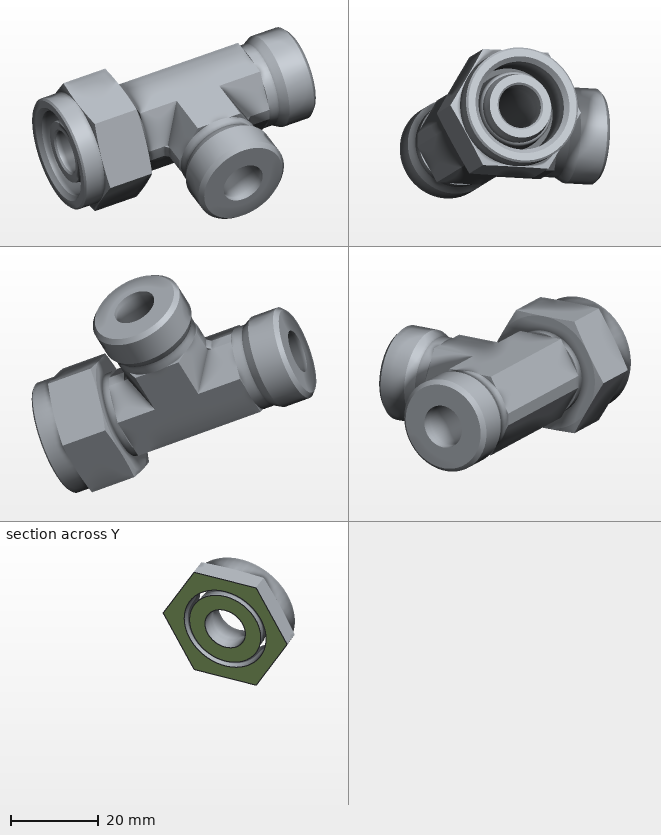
import cadquery as cq
import math


overall_length = 61.1

body_across_flats = 19.0
body_half_width = 10.15
shoulder = 16.0
run_front = -14.9
gusset_leg = 0.9
bore_radius = 5.0

male_end = 28.0
thread_start = 20.7
neck_end = 18.6
thread_radius = 11.0
neck_radius = 9.85
thread_chamfer = 1.0

nut_across_flats = 27.0
nut_back = -16.6
nut_hex_front = -28.1
nut_front = male_end - overall_length
nut_collar_radius = 13.4
nut_collar_chamfer = 0.4
hex_corner_relief = 0.35
nut_thread_radius = 10.2
nut_mouth_radius = 11.25
nut_floor = -23.2

spigot_radius = 10.0
nose_root_radius = 9.0
nose_tip_radius = 7.35
nose_half_angle = 12.0
nose_tip = -31.45
nose_bore_chamfer = 0.4
ring_section_radius = 0.9
ring_outer_radius = 8.7
ring_y = -27.5


def hex_bar(across_flats, start, end):
    """Hexagonal bar along Y with flats facing up and down."""
    across_corners = across_flats / math.cos(math.pi / 6)
    bar = cq.Workplane("XZ", origin=(0, end, 0)).polygon(6, across_corners)
    return bar.extrude(end - start)


def turned(profile):
    """Solid of revolution about Y from (radius, y) points."""
    return cq.Workplane("XY").polyline(profile).close().revolve(360, (0, 0, 0), (0, 1, 0))


def toward_branch(shape):
    """Turn a shape from the +Y direction to the +X direction."""
    return shape.rotate((0, 0, 0), (0, 0, 1), -90)


def body_bar(start, end):
    """Hexagonal bar of the body with its two side corners trimmed flat."""
    trim = cq.Workplane("XY").box(2 * body_half_width, 4 * male_end, body_across_flats)
    return hex_bar(body_across_flats, start, end).intersect(trim)


def corner_gusset(side):
    """Small triangular web where run and branch flats meet, on the +Y (1) or -Y (-1) side."""
    flat_height = (2 * body_across_flats / math.sqrt(3) - 2 * body_half_width) * math.tan(math.pi / 3)
    outer = body_half_width + gusset_leg
    web = cq.Workplane("XY").polyline([
        (0, 0),
        (outer, side * body_half_width),
        (body_half_width, side * outer),
    ])
    return web.close().extrude(flat_height / 2, both=True)


def male_stub():
    """Neck, cone and chamfered thread of a male end pointing along +Y."""
    return turned([
        (0, shoulder),
        (neck_radius, shoulder),
        (neck_radius, neck_end),
        (thread_radius, thread_start),
        (thread_radius, male_end - thread_chamfer),
        (thread_radius - thread_chamfer, male_end),
        (0, male_end),
    ])


def union_nut():
    """Hexagonal nut with a round front collar and an open, countersunk thread."""
    flat_radius = nut_across_flats / 2
    corner_radius = flat_radius / math.cos(math.pi / 6)
    relief = turned([
        (0, nut_back),
        (flat_radius, nut_back),
        (corner_radius, nut_back - hex_corner_relief),
        (corner_radius, nut_hex_front + hex_corner_relief),
        (flat_radius, nut_hex_front),
        (0, nut_hex_front),
    ])
    collar = turned([
        (0, nut_back),
        (nut_collar_radius, nut_back),
        (nut_collar_radius, nut_front + nut_collar_chamfer),
        (nut_collar_radius - nut_collar_chamfer, nut_front),
        (0, nut_front),
    ])
    countersink_depth = nut_mouth_radius - nut_thread_radius
    cavity = turned([
        (0, nut_floor),
        (nut_thread_radius, nut_floor),
        (nut_thread_radius, nut_front + countersink_depth),
        (nut_mouth_radius, nut_front),
        (0, nut_front),
    ])
    hexagon = hex_bar(nut_across_flats, nut_hex_front, nut_back).intersect(relief)
    return hexagon.union(collar).cut(cavity)


def nose():
    """Cone-ended spigot that carries the O-ring and reaches into the nut."""
    taper_length = (nose_root_radius - nose_tip_radius) / math.tan(math.radians(nose_half_angle))
    spigot = turned([
        (0, run_front),
        (spigot_radius, run_front),
        (spigot_radius, nut_back),
        (nose_root_radius, nut_back),
        (nose_root_radius, nose_tip + taper_length),
        (nose_tip_radius, nose_tip),
        (0, nose_tip),
    ])
    ring_center = ring_outer_radius - ring_section_radius
    ring = (
        cq.Workplane("XY")
        .center(ring_center, ring_y)
        .circle(ring_section_radius)
        .revolve(360, (-ring_center, 0, 0), (-ring_center, 1, 0))
    )
    return spigot.union(ring)


def bores():
    """Through bore of the run, chamfered at the nose, and the branch bore that meets it."""
    run = turned([
        (0, nose_tip),
        (bore_radius + nose_bore_chamfer, nose_tip),
        (bore_radius, nose_tip + nose_bore_chamfer),
        (bore_radius, male_end),
        (0, male_end),
    ])
    branch = toward_branch(turned([(0, 0), (bore_radius, 0), (bore_radius, male_end), (0, male_end)]))
    return run.union(branch)


body = body_bar(run_front, shoulder).union(toward_branch(body_bar(0, shoulder)))
body = body.union(corner_gusset(1)).union(corner_gusset(-1))
body = body.union(male_stub()).union(toward_branch(male_stub()))
result = body.union(union_nut()).union(nose()).cut(bores())